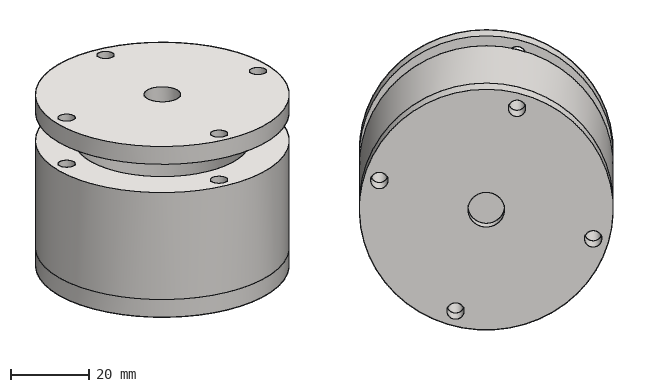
import cadquery as cq

outer_diameter = 65.0
total_height = 48.0
plate_thickness = 5.0
housing_height = 30.0
housing_bore_diameter = 45.1
shaft_hole_diameter = 9.35
recess_diameter = 41.2
recess_depth = 2.0
screw_hole_diameter = 4.4
screw_circle_radius = 28.5
screw_count = 4

housing_base = plate_thickness
top_cover_base = total_height - plate_thickness


def drilled_disc(base, height, center_hole_diameter):
    """Round disc with a central through hole and a ring of screw holes."""
    disc = (
        cq.Workplane("XY", origin=(0, 0, base))
        .circle(outer_diameter / 2)
        .circle(center_hole_diameter / 2)
        .extrude(height)
    )
    screw_holes = (
        cq.Workplane("XY", origin=(0, 0, base))
        .polarArray(screw_circle_radius, 0, 360, screw_count)
        .circle(screw_hole_diameter / 2)
        .extrude(height)
    )
    return disc.cut(screw_holes)


def make_housing():
    """Thick tube bored right through, closed by the covers at its ends."""
    return drilled_disc(housing_base, housing_height, housing_bore_diameter)


def make_top_cover():
    """Flat end plate with a central shaft hole."""
    return drilled_disc(top_cover_base, plate_thickness, shaft_hole_diameter)


def make_bottom_cover():
    """End plate with a shaft hole and a shallow round recess facing the housing bore."""
    plate = drilled_disc(0, plate_thickness, shaft_hole_diameter)
    recess = (
        cq.Workplane("XY", origin=(0, 0, plate_thickness - recess_depth))
        .circle(recess_diameter / 2)
        .extrude(recess_depth)
    )
    return plate.cut(recess)


housing = make_housing()
top_cover = make_top_cover()
bottom_cover = make_bottom_cover()

result = cq.Compound.makeCompound([housing.val(), top_cover.val(), bottom_cover.val()])